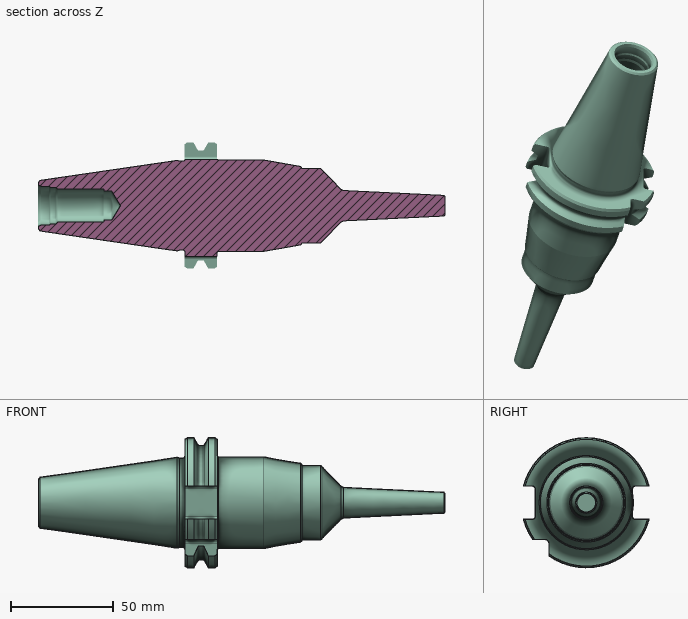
import cadquery as cq
import math


SHANK_END_CHAMFER = 0.8
GAUGE_X = 67.6
GAUGE_RADIUS = 22.2
TAPER_SLOPE = 7 / 48
SHANK_END_RADIUS = GAUGE_RADIUS - TAPER_SLOPE * GAUGE_X

NECK_X = 68.8
NECK_RADIUS = 21.8
NECK_FILLET = 1.0

FLANGE_X = 71.4
FLANGE_WIDTH = 15.9
FLANGE_END_X = FLANGE_X + FLANGE_WIDTH
FLANGE_RADIUS = 31.7
FLANGE_CHAMFER_LENGTH = 1.2
FLANGE_CHAMFER_DEPTH = 0.8
CUT_MARGIN = 2.0

GROOVE_X = FLANGE_X + FLANGE_WIDTH / 2
GROOVE_BOTTOM_RADIUS = 28.0
GROOVE_BOTTOM_WIDTH = 2.8
GROOVE_HALF_ANGLE = math.radians(30)
GROOVE_FILLET = 0.8

SLOT_WIDTH = 16.0
SLOT_FLOOR_MINUS_Y = 25.0
SLOT_FLOOR_PLUS_Y = 22.6
SLOT_FILLET = 1.2
NOTCH_Y = -18.2
NOTCH_Z = -18.0
NOTCH_FILLET = 1.8

BODY_RADIUS = 22.5
BODY_FILLET = 0.5
BODY_TAPER_X = 109.8
BODY_END_X = 128.5
BODY_END_RADIUS = 19.2
BODY_END_CHAMFER = 0.5
COLLAR_RADIUS = 18.2
COLLAR_FILLET = 0.3
COLLAR_END_X = 138.2
COLLAR_CHAMFER = 0.5
CONE_END_X = 147.5
CONE_END_RADIUS = 8.1
NOSE_X = 148.7
NOSE_RADIUS = 7.5
TIP_X = 198.2
TIP_RADIUS = 5.2
TIP_CHAMFER = 0.5

MOUTH_RADIUS = 10.0
MOUTH_CHAMFER_LENGTH = 1.4
COUNTERBORE_RADIUS = 9.3
COUNTERBORE_DEPTH = 5.4
PILOT_RADIUS = 8.7
PILOT_DEPTH = 8.5
THREAD_RADIUS = 8.0
THREAD_DEPTH = 31.7
DRILL_RADIUS = 7.0
DRILL_DEPTH = 35.7
DRILL_HALF_ANGLE = math.radians(59)


def revolve_about_x(profile):
    return profile.close().revolve(360, (0, 0, 0), (1, 0, 0))


def inner_fillet_middle(face_x, radius, fillet, side):
    """Middle of the fillet where a cylinder meets a face; side is +1 or -1 along X."""
    offset = fillet * (1 - math.sqrt(0.5))
    return face_x + side * offset, radius + offset


def turned_body():
    """Everything outside the bore, without the groove and the flange cut-outs."""
    chamfer_radius = FLANGE_RADIUS - FLANGE_CHAMFER_DEPTH
    profile = (
        cq.Workplane("XY")
        .lineTo(0, SHANK_END_RADIUS - SHANK_END_CHAMFER)
        .lineTo(SHANK_END_CHAMFER, SHANK_END_RADIUS + TAPER_SLOPE * SHANK_END_CHAMFER)
        .lineTo(GAUGE_X, GAUGE_RADIUS)
        .lineTo(NECK_X, NECK_RADIUS)
        .lineTo(FLANGE_X - NECK_FILLET, NECK_RADIUS)
        .threePointArc(
            inner_fillet_middle(FLANGE_X, NECK_RADIUS, NECK_FILLET, -1),
            (FLANGE_X, NECK_RADIUS + NECK_FILLET),
        )
        .lineTo(FLANGE_X, chamfer_radius)
        .lineTo(FLANGE_X + FLANGE_CHAMFER_LENGTH, FLANGE_RADIUS)
        .lineTo(FLANGE_END_X - FLANGE_CHAMFER_LENGTH, FLANGE_RADIUS)
        .lineTo(FLANGE_END_X, chamfer_radius)
        .lineTo(FLANGE_END_X, BODY_RADIUS + BODY_FILLET)
        .threePointArc(
            inner_fillet_middle(FLANGE_END_X, BODY_RADIUS, BODY_FILLET, 1),
            (FLANGE_END_X + BODY_FILLET, BODY_RADIUS),
        )
        .lineTo(BODY_TAPER_X, BODY_RADIUS)
        .lineTo(BODY_END_X - BODY_END_CHAMFER, BODY_END_RADIUS)
        .lineTo(BODY_END_X, BODY_END_RADIUS - BODY_END_CHAMFER)
        .lineTo(BODY_END_X, COLLAR_RADIUS + COLLAR_FILLET)
        .threePointArc(
            inner_fillet_middle(BODY_END_X, COLLAR_RADIUS, COLLAR_FILLET, 1),
            (BODY_END_X + COLLAR_FILLET, COLLAR_RADIUS),
        )
        .lineTo(COLLAR_END_X - COLLAR_CHAMFER, COLLAR_RADIUS)
        .lineTo(COLLAR_END_X, COLLAR_RADIUS - COLLAR_CHAMFER)
        .lineTo(CONE_END_X, CONE_END_RADIUS)
        .lineTo(NOSE_X, NOSE_RADIUS)
        .lineTo(TIP_X - TIP_CHAMFER, TIP_RADIUS)
        .lineTo(TIP_X, TIP_RADIUS - TIP_CHAMFER)
        .lineTo(TIP_X, 0)
    )
    return revolve_about_x(profile)


def gripper_groove():
    """Ring that cuts the V groove, with rounded corners at its bottom."""
    outer_radius = FLANGE_RADIUS + CUT_MARGIN
    half_bottom = GROOVE_BOTTOM_WIDTH / 2
    half_top = half_bottom + (outer_radius - GROOVE_BOTTOM_RADIUS) * math.tan(GROOVE_HALF_ANGLE)
    profile = (
        cq.Workplane("XY")
        .moveTo(GROOVE_X - half_top, outer_radius)
        .lineTo(GROOVE_X - half_bottom, GROOVE_BOTTOM_RADIUS)
        .lineTo(GROOVE_X + half_bottom, GROOVE_BOTTOM_RADIUS)
        .lineTo(GROOVE_X + half_top, outer_radius)
    )
    bottom_corners = cq.selectors.RadiusNthSelector(0)
    return revolve_about_x(profile).edges(bottom_corners).fillet(GROOVE_FILLET)


def flange_cutter(y_near, y_far, z_low, z_high):
    """Block as wide as the flange, spanning the given ranges of Y and Z."""
    return cq.Workplane("XY").box(
        FLANGE_WIDTH, y_far - y_near, z_high - z_low, centered=False
    ).translate((FLANGE_X, y_near, z_low))


def drive_slots():
    reach = FLANGE_RADIUS + CUT_MARGIN
    half_width = SLOT_WIDTH / 2
    minus_y = flange_cutter(-reach, -SLOT_FLOOR_MINUS_Y, -half_width, half_width)
    plus_y = flange_cutter(SLOT_FLOOR_PLUS_Y, reach, -half_width, half_width)
    return minus_y.edges("|X and >Y").fillet(SLOT_FILLET).union(
        plus_y.edges("|X and <Y").fillet(SLOT_FILLET)
    )


def orientation_notch():
    reach = FLANGE_RADIUS + CUT_MARGIN
    notch = flange_cutter(-reach, NOTCH_Y, -reach, NOTCH_Z)
    return notch.edges("|X and >Y and >Z").fillet(NOTCH_FILLET)


def pull_stud_bore():
    """Chamfered mouth, counterbore, pilot and thread joined by 45 degree steps, then a drill point."""
    profile = (
        cq.Workplane("XY")
        .lineTo(0, MOUTH_RADIUS)
        .lineTo(MOUTH_CHAMFER_LENGTH, COUNTERBORE_RADIUS)
        .lineTo(COUNTERBORE_DEPTH, COUNTERBORE_RADIUS)
        .lineTo(COUNTERBORE_DEPTH + COUNTERBORE_RADIUS - PILOT_RADIUS, PILOT_RADIUS)
        .lineTo(PILOT_DEPTH, PILOT_RADIUS)
        .lineTo(PILOT_DEPTH + PILOT_RADIUS - THREAD_RADIUS, THREAD_RADIUS)
        .lineTo(THREAD_DEPTH, THREAD_RADIUS)
        .lineTo(THREAD_DEPTH, DRILL_RADIUS)
        .lineTo(DRILL_DEPTH, DRILL_RADIUS)
        .lineTo(DRILL_DEPTH + DRILL_RADIUS / math.tan(DRILL_HALF_ANGLE), 0)
    )
    return revolve_about_x(profile)


result = (
    turned_body()
    .cut(gripper_groove())
    .cut(drive_slots())
    .cut(orientation_notch())
    .cut(pull_stud_bore())
)